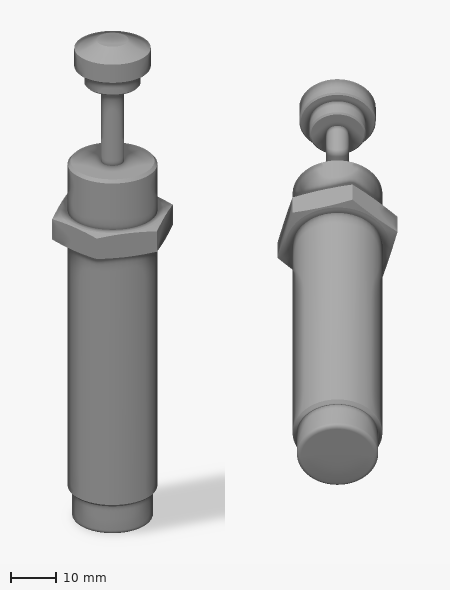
import cadquery as cq
import math

barrel_diameter = 20.0
barrel_bottom_end_diameter = 18.4
barrel_top_end_diameter = 18.6
barrel_chamfer_height = 0.7
barrel_bottom = 7.1
barrel_top = 88.0
tail_diameter = 18.0
tail_fillet = 1.0

nut_corner_diameter = 27.7
nut_bottom = 69.9
nut_height = 6.0
nut_vertex_angle = 37.4
nut_bevel_diameter = 23.1
nut_bevel_angle = 12.0

total_height = 118.0
rod_diameter = 5.1
collar_diameter = 12.5
collar_bottom = 107.1
collar_chamfer = 0.4
button_diameter = 17.0
button_bottom = 111.2
button_chamfer = 0.4
crown_bottom = 116.0
crown_flat_diameter = 7.1


def make_housing():
    """Barrel bevelled at both ends, standing on a narrower round-edged tail."""
    barrel_radius = barrel_diameter / 2
    bottom_end_radius = barrel_bottom_end_diameter / 2
    top_end_radius = barrel_top_end_diameter / 2
    barrel = (
        cq.Workplane("XZ")
        .moveTo(0, barrel_bottom)
        .lineTo(bottom_end_radius, barrel_bottom)
        .lineTo(barrel_radius, barrel_bottom + barrel_chamfer_height)
        .lineTo(barrel_radius, barrel_top - barrel_chamfer_height)
        .lineTo(top_end_radius, barrel_top)
        .lineTo(0, barrel_top)
        .close()
        .revolve(360, (0, 0), (0, 1))
    )
    tail = cq.Workplane("XY").circle(tail_diameter / 2).extrude(barrel_bottom)
    tail = tail.faces("<Z").fillet(tail_fillet)
    return barrel.union(tail)


def make_nut():
    """Hexagon with both faces bevelled by shallow cones, bored to fit the barrel."""
    corner_radius = nut_corner_diameter / 2
    bevel_radius = nut_bevel_diameter / 2
    bevel_height = (corner_radius - bevel_radius) * math.tan(math.radians(nut_bevel_angle))
    hexagon = (
        cq.Workplane("XY")
        .polygon(6, nut_corner_diameter)
        .extrude(nut_height)
        .rotate((0, 0, 0), (0, 0, 1), nut_vertex_angle)
    )
    bevel_envelope = (
        cq.Workplane("XZ")
        .lineTo(bevel_radius, 0)
        .lineTo(corner_radius, bevel_height)
        .lineTo(corner_radius, nut_height - bevel_height)
        .lineTo(bevel_radius, nut_height)
        .lineTo(0, nut_height)
        .close()
        .revolve(360, (0, 0), (0, 1))
    )
    bore = cq.Workplane("XY").circle(barrel_diameter / 2).extrude(nut_height)
    return hexagon.intersect(bevel_envelope).cut(bore).translate((0, 0, nut_bottom))


def make_plunger():
    """Rod resting on the housing, carrying a collar and a button with a flat-topped conical crown."""
    rod_radius = rod_diameter / 2
    collar_radius = collar_diameter / 2
    button_radius = button_diameter / 2
    flat_radius = crown_flat_diameter / 2
    return (
        cq.Workplane("XZ")
        .moveTo(0, barrel_top)
        .lineTo(rod_radius, barrel_top)
        .lineTo(rod_radius, collar_bottom)
        .lineTo(collar_radius - collar_chamfer, collar_bottom)
        .lineTo(collar_radius, collar_bottom + collar_chamfer)
        .lineTo(collar_radius, button_bottom)
        .lineTo(button_radius - button_chamfer, button_bottom)
        .lineTo(button_radius, button_bottom + button_chamfer)
        .lineTo(button_radius, crown_bottom)
        .lineTo(flat_radius, total_height)
        .lineTo(0, total_height)
        .close()
        .revolve(360, (0, 0), (0, 1))
    )


housing = make_housing()
nut = make_nut()
plunger = make_plunger()

result = cq.Compound.makeCompound([housing.val(), nut.val(), plunger.val()])